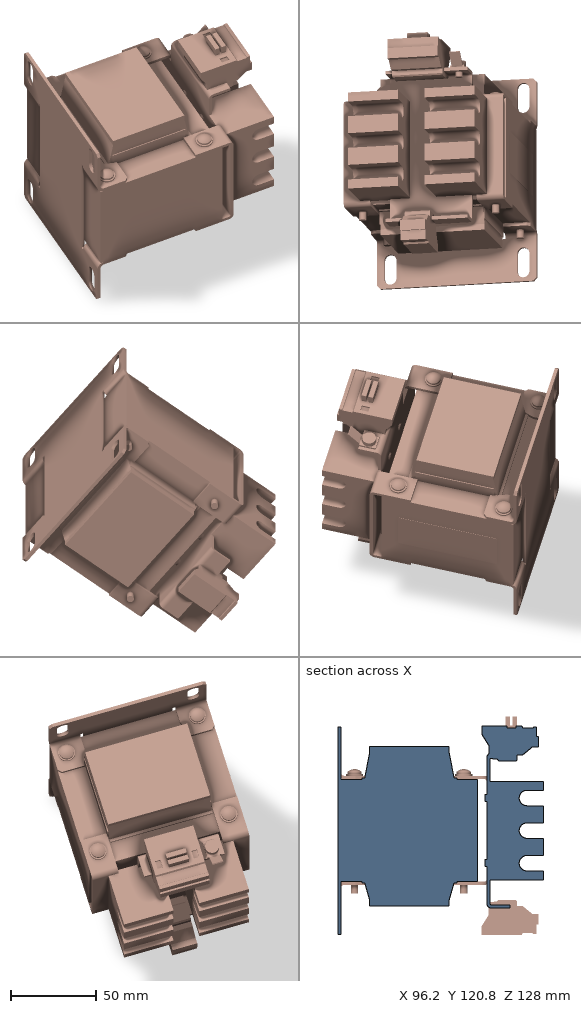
import cadquery as cq
import math


sheet = 2.0
width = 96.0
core_depth = 80.0
core_height = 60.0
leg_width = width / 6
half_width = width / 2
half_core = core_height / 2
core_front = sheet
core_rear = core_front + core_depth

plate_height = 122.0
plate_chamfer = 2.0
slot_length = 18.0
slot_width = 7.2
slot_z = 49.6
hole_x = half_width - leg_width / 2
plate_bend = 4.0
window_half_height = 35.0
window_inner_x = 27.1
tab_root_x = 29.2
tab_end_y = 20.4
tab_taper_start_y = 10.5
tab_taper_end_y = 18.8
tab_chamfer = 2.0

coil_half_x = 31.25
coil_mid_y = core_front + core_depth / 2
coil_base_half_y = 26.5
coil_crown_half_y = 23.4
coil_straight = 3.5
coil_top = 49.5
coil_bottom = -44.4
winding_half_x = 31.75
winding_half_y = 23.85
winding_half_z = 38.0
flange_half_y = 28.0
flange_thickness = 1.0

bracket_rear = 89.25
bracket_front = bracket_rear - sheet
bracket_bend = 3.0
bracket_leg_front = 64.4
upright_x = (-29.3, 20.0)
rail_top = 45.6
rail_end_y = 101.2

overall_rear = 120.75
comb_half_height = 29.0
comb_inner_x = 7.9
comb_outer_x = 38.15
comb_slot_radius = 4.4
comb_slot_bottom_y = 106.5
comb_pitch = 19.1
pin_radius = 2.2
pin_length = 1.1
pin_x = 11.0

block_top = 61.4
block_width = 15.1
key_half_x = 6.1
key_thickness = 2.8
key_height = 5.2
key_front_y = (98.4, 102.55)
pocket_size = (3.3, 4.8)
pocket_depth = 1.0
pocket_center = (11.15, 101.8)

screw_y = (core_front + leg_width / 2, core_rear - leg_width / 2)
washer_radius = 5.0
washer_thickness = 1.0
head_radius = 4.2
head_rim = 1.3
head_dome = 1.6
shank_radius = 2.1
shank_end_z = -37.0

earth_x = -23.05
earth_y = 96.2
earth_clip_half_x = 4.25
earth_clip_y = (91.2, rail_end_y)
earth_clip_thickness = 1.2
earth_head_radius = 4.05
earth_head_height = 3.2
earth_shank_radius = 2.1
earth_shank_end_z = 40.7
earth_tongue_half_x = 3.25
earth_tongue_reach = 6.7
earth_tongue_thickness = 0.7

label_length = 60.0
label_height = 25.0
label_thickness = 0.15
label_corner = 1.0


def box(x, y, z):
    """Block spanning the (low, high) pairs x, y and z."""
    size = (x[1] - x[0], y[1] - y[0], z[1] - z[0])
    return cq.Workplane("XY").box(*size, centered=False).translate((x[0], y[0], z[0]))


def cylinder(x, y, z, radius):
    """Upright cylinder spanning the (low, high) pair z."""
    return cq.Workplane("XY", origin=(x, y, z[0])).circle(radius).extrude(z[1] - z[0])


def side_profile(x):
    """Workplane for drawing a (Y, Z) outline that is extruded along +X from x."""
    return cq.Workplane("YZ", origin=(x, 0, 0))


def bend(x, outer_y, outer_z, y_dir, z_dir, radius):
    """Quarter bend filling the corner at (outer_y, outer_z), opening along y_dir and z_dir."""
    inner = radius - sheet
    center_y = outer_y + y_dir * radius
    center_z = outer_z + z_dir * radius
    diagonal = math.sqrt(0.5)

    def on_arc(r):
        return center_y - y_dir * r * diagonal, center_z - z_dir * r * diagonal

    return (
        side_profile(x[0])
        .moveTo(outer_y, center_z)
        .threePointArc(on_arc(radius), (center_y, outer_z))
        .lineTo(center_y, outer_z + z_dir * sheet)
        .threePointArc(on_arc(inner), (outer_y + y_dir * sheet, center_z))
        .close()
        .extrude(x[1] - x[0])
    )


def mirrored(shape, plane):
    """The shape joined with its own reflection in a principal plane."""
    return shape.union(shape.mirror(plane))


def make_core():
    return box((-half_width, half_width), (core_front, core_rear), (-half_core, half_core))


def make_label():
    return (
        cq.Workplane("YZ", origin=(-half_width, coil_mid_y, 0))
        .rect(label_length, label_height)
        .extrude(-label_thickness)
        .edges("|X")
        .fillet(label_corner)
    )


def make_coil():
    coil = box(
        (-winding_half_x, winding_half_x),
        (coil_mid_y - winding_half_y, coil_mid_y + winding_half_y),
        (-winding_half_z, winding_half_z),
    )
    for crown_z, direction in ((coil_top, 1), (coil_bottom, -1)):
        base_z = direction * half_core
        shoulder_z = crown_z - direction * coil_straight
        coil = coil.union(
            side_profile(-coil_half_x)
            .moveTo(coil_mid_y - coil_base_half_y, base_z)
            .lineTo(coil_mid_y + coil_base_half_y, base_z)
            .lineTo(coil_mid_y + coil_crown_half_y, shoulder_z)
            .lineTo(coil_mid_y + coil_crown_half_y, crown_z)
            .lineTo(coil_mid_y - coil_crown_half_y, crown_z)
            .lineTo(coil_mid_y - coil_crown_half_y, shoulder_z)
            .close()
            .extrude(2 * coil_half_x)
        )
    flange_z = half_core + flange_thickness
    return coil.union(
        box(
            (-coil_half_x, coil_half_x),
            (coil_mid_y - flange_half_y, coil_mid_y + flange_half_y),
            (-flange_z, flange_z),
        )
    )


def make_mounting_tab():
    """Tab bent back from the plate over the top of the -X core limb."""
    flat = (
        cq.Workplane("XY", origin=(0, 0, half_core))
        .moveTo(-half_width, plate_bend)
        .lineTo(-tab_root_x, plate_bend)
        .lineTo(-tab_root_x, tab_taper_start_y)
        .lineTo(-half_width + leg_width, tab_taper_end_y)
        .lineTo(-half_width + leg_width, tab_end_y)
        .lineTo(-half_width + tab_chamfer, tab_end_y)
        .lineTo(-half_width, tab_end_y - tab_chamfer)
        .close()
        .extrude(sheet)
    )
    bend_end_z = half_core + plate_bend
    root = box((-half_width, -tab_root_x), (0, sheet), (bend_end_z, window_half_height))
    return flat.union(root).union(bend((-half_width, -tab_root_x), 0, half_core, 1, 1, plate_bend))


def make_mounting_plate():
    half_height = plate_height / 2
    plate = box((-half_width, half_width), (0, sheet), (-half_height, half_height))
    plate = plate.edges("|Y").chamfer(plate_chamfer)
    slots = (
        cq.Workplane("XZ")
        .rarray(2 * hole_x, 2 * slot_z, 2, 2)
        .slot2D(slot_length, slot_width, 90)
        .extrude(-sheet)
    )
    window = box(
        (-half_width, -window_inner_x), (0, sheet), (-window_half_height, window_half_height)
    )
    tabs = mirrored(mirrored(make_mounting_tab(), "XY"), "YZ")
    return plate.cut(slots).cut(mirrored(window, "YZ")).union(tabs)


def make_bracket_leg():
    """Upper -X leg of the rear bracket, lying on the core limb."""
    x = (-half_width, -half_width + leg_width)
    top = half_core + sheet
    flat = box(x, (bracket_leg_front, bracket_rear - bracket_bend), (half_core, top))
    return flat.union(bend(x, bracket_rear, top, -1, -1, bracket_bend))


def make_rail():
    """Upper terminal rail bent back from the top of the bracket upright."""
    flat = box(upright_x, (bracket_front + bracket_bend, rail_end_y), (rail_top - sheet, rail_top))
    return flat.union(bend(upright_x, bracket_front, rail_top, 1, -1, bracket_bend))


def make_rear_bracket():
    web_z = half_core + sheet - bracket_bend
    upright_z = rail_top - bracket_bend
    sheet_y = (bracket_front, bracket_rear)
    web = box((-half_width, half_width), sheet_y, (-web_z, web_z))
    upright = box(upright_x, sheet_y, (-upright_z, upright_z))
    legs = mirrored(mirrored(make_bracket_leg(), "XY"), "YZ")
    return web.union(upright).union(legs).union(mirrored(make_rail(), "XY"))


def make_comb():
    """-X slotted block on the bracket's rear face, held by two pins."""
    x = (-comb_outer_x, -comb_inner_x)
    comb = box(x, (bracket_rear, overall_rear), (-comb_half_height, comb_half_height))
    slot_center_y = comb_slot_bottom_y + comb_slot_radius
    for row in (-1, 0, 1):
        z = row * comb_pitch
        slot = box(x, (slot_center_y, overall_rear), (z - comb_slot_radius, z + comb_slot_radius))
        slot_end = (
            side_profile(x[0]).center(slot_center_y, z).circle(comb_slot_radius).extrude(x[1] - x[0])
        )
        comb = comb.cut(slot).cut(slot_end)
    for row in (-1, 1):
        pin = (
            cq.Workplane("XZ", origin=(-pin_x, bracket_front, row * comb_pitch))
            .circle(pin_radius)
            .extrude(pin_length)
        )
        comb = comb.union(pin)
    return comb


def make_terminal_block(x):
    """Upper terminal block spanning the (low, high) pair x."""
    outline = [
        (84.4, block_top),
        (107.9, block_top),
        (108.6, 60.3),
        (114.4, 60.3),
        (114.7, 60.9),
        (116.7, 60.9),
        (116.7, 55.2),
        (117.75, 55.2),
        (117.75, 49.0),
        (114.2, 49.0),
        (108.5, 44.3),
        (105.3, 44.3),
        (105.3, 41.5),
        (104.4, 40.7),
        (94.4, 40.7),
        (93.4, 41.7),
        (88.6, 42.2),
        (88.6, 49.6),
        (84.4, 56.3),
    ]
    return side_profile(x[0]).polyline(outline).close().extrude(x[1] - x[0])


def make_terminals():
    upper = make_terminal_block((-block_width, block_width))
    for front_y in key_front_y:
        key = box(
            (-key_half_x, key_half_x),
            (front_y, front_y + key_thickness),
            (block_top, block_top + key_height),
        )
        upper = upper.union(key)
    pockets = (
        cq.Workplane("XY", origin=(0, pocket_center[1], block_top))
        .rarray(2 * pocket_center[0], 1, 2, 1)
        .rect(*pocket_size)
        .extrude(-pocket_depth)
    )
    lower = make_terminal_block((-block_width / 2, block_width / 2)).mirror("XY")
    return upper.cut(pockets).union(lower)


def make_screw(x, y):
    """Clamping screw through one core corner, with washer and domed head."""
    seat = half_core + sheet
    rim_z = seat + washer_thickness
    crown_z = rim_z + head_rim
    dome_radius = (head_radius**2 + head_dome**2) / (2 * head_dome)
    dome = (
        cq.Workplane("XY", origin=(x, y, crown_z + head_dome - dome_radius))
        .sphere(dome_radius)
        .intersect(cylinder(x, y, (crown_z, crown_z + head_dome), head_radius))
    )
    return (
        cylinder(x, y, (shank_end_z, seat), shank_radius)
        .union(cylinder(x, y, (seat, rim_z), washer_radius))
        .union(cylinder(x, y, (rim_z, crown_z), head_radius))
        .union(dome)
    )


def make_earth_terminal():
    clip_x = (earth_x - earth_clip_half_x, earth_x + earth_clip_half_x)
    clip_top = rail_top + earth_clip_thickness
    clip = box(clip_x, earth_clip_y, (rail_top, clip_top))
    head = cylinder(earth_x, earth_y, (clip_top, clip_top + earth_head_height), earth_head_radius)
    shank = cylinder(earth_x, earth_y, (earth_shank_end_z, rail_top), earth_shank_radius)
    root_y = earth_clip_y[1]
    step = earth_tongue_thickness * math.sqrt(2)
    tongue = (
        side_profile(earth_x - earth_tongue_half_x)
        .moveTo(root_y, clip_top)
        .lineTo(root_y + earth_tongue_reach, clip_top + earth_tongue_reach)
        .lineTo(root_y + earth_tongue_reach + step / 2, clip_top + earth_tongue_reach - step / 2)
        .lineTo(root_y, clip_top - step)
        .close()
        .extrude(2 * earth_tongue_half_x)
    )
    return clip.union(head).union(shank).union(tongue)


result = (
    make_core()
    .union(make_label())
    .union(make_coil())
    .union(make_mounting_plate())
    .union(make_rear_bracket())
    .union(mirrored(make_comb(), "YZ"))
    .union(make_terminals())
    .union(make_earth_terminal())
)
for x in (-hole_x, hole_x):
    for y in screw_y:
        result = result.union(make_screw(x, y))